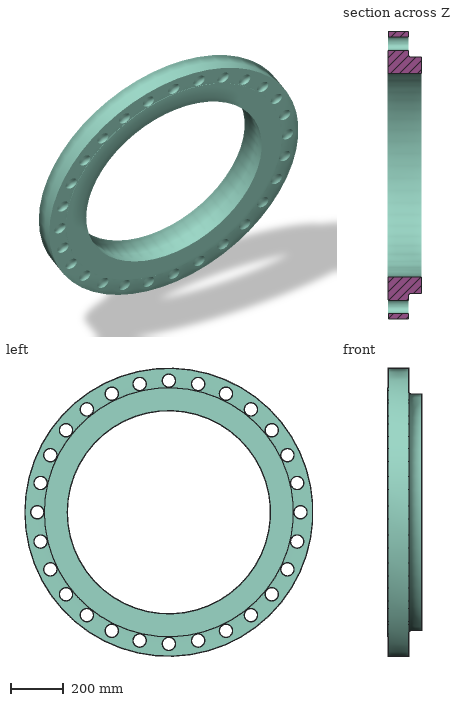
import cadquery as cq

OUTER_DIAMETER = 1092.0
BORE_DIAMETER = 769.0
TOTAL_LENGTH = 129.0

FACE_DIAMETER = 944.0
FACE_HEIGHT = 1.0
FLANGE_BACK = 80.0

HUB_DIAMETER = 898.0
HUB_FILLET = 9.0

BOLT_COUNT = 28
BOLT_CIRCLE_DIAMETER = 997.0
BOLT_HOLE_DIAMETER = 49.0

FRONT_X = -TOTAL_LENGTH / 2


def disc(diameter, start, end):
    """Solid disc between two distances behind the raised face."""
    plane = cq.Workplane("YZ", origin=(FRONT_X + start, 0, 0))
    return plane.circle(diameter / 2).extrude(end - start)


def flange_body():
    plate = disc(OUTER_DIAMETER, FACE_HEIGHT, FLANGE_BACK)
    raised_face = disc(FACE_DIAMETER, 0, FACE_HEIGHT)
    hub = disc(HUB_DIAMETER, FLANGE_BACK, TOTAL_LENGTH)
    body = plate.union(raised_face).union(hub)

    corner = cq.selectors.RadiusNthSelector(0)
    hub_root = body.faces(cq.selectors.NearestToPointSelector(
        (FRONT_X + FLANGE_BACK, 0, OUTER_DIAMETER / 2))).edges(corner)
    return hub_root.fillet(HUB_FILLET)


def bolt_holes():
    return (
        cq.Workplane("YZ", origin=(FRONT_X, 0, 0))
        .polarArray(BOLT_CIRCLE_DIAMETER / 2, 0, 360, BOLT_COUNT)
        .circle(BOLT_HOLE_DIAMETER / 2)
        .extrude(FLANGE_BACK)
    )


bore = disc(BORE_DIAMETER, 0, TOTAL_LENGTH)
result = flange_body().cut(bore).cut(bolt_holes())